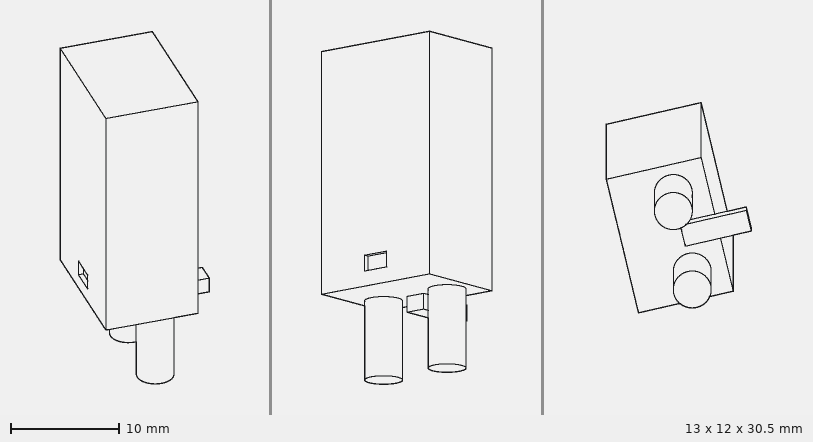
import cadquery as cq

total_height = 30.5
total_depth = 12.0

body_width = 13.0
body_depth = 9.0

pin_diameter = 3.5
pin_length = 7.5
pin_pitch = 7.62
pin_to_back = 3.25
body_height = total_height - pin_length
pin_y = body_depth - pin_to_back

tab_width = 2.0
tab_height = 1.5
tab_length = total_depth - pin_y

pocket_width = 2.6
pocket_height = 1.5
pocket_depth = 0.5
pocket_bottom = 1.43


def block(width, depth, height, front_y, bottom_z):
    """Box centred on X, placed by its front face and bottom face."""
    box = cq.Workplane("XY").box(width, depth, height, centered=(True, False, False))
    return box.translate((0, front_y, bottom_z))


housing = block(body_width, body_depth, body_height, 0, 0)
pocket = block(pocket_width, pocket_depth, pocket_height, 0, pocket_bottom)
tab = block(tab_width, tab_length, tab_height, pin_y, -tab_height)

pins = (
    cq.Workplane("XY")
    .pushPoints([(side * pin_pitch / 2, pin_y) for side in (-1, 1)])
    .circle(pin_diameter / 2)
    .extrude(-pin_length)
)

result = housing.cut(pocket).union(tab).union(pins)